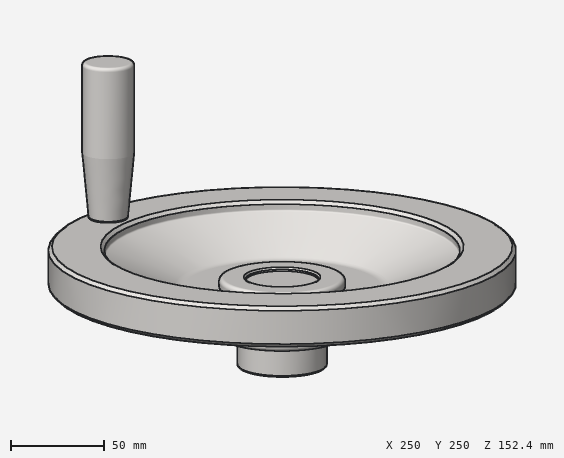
import cadquery as cq
import math

rim_diameter = 250.0
total_height = 152.4
rim_radius = rim_diameter / 2

rim_bottom = 43.6
rim_top = 66.0
rim_edge_chamfer = 2.0
rim_inner_radius = 95.0
rim_mouth_chamfer = 2.0

dish_floor_height = 44.0
dish_floor_radius = 53.0
dish_floor_fillet = 10.0
dish_slope = math.radians(22.4)
dish_wall_fillet = 1.0

underside_slope = math.radians(24.0)
underside_fillet = 3.0

hub_radius = 48.0 / 2
hub_edge_chamfer = 1.0
flange_radius = 70.0 / 2
flange_bottom = 17.0
flange_edge_fillet = 2.5
flange_top = 25.2

boss_radius = 67.5 / 2
boss_height = 5.2
boss_top = dish_floor_height + boss_height
boss_edge_fillet = 2.4
recess_radius = 39.0 / 2
recess_depth = 2.0
recess_chamfer = 1.0

handle_offset = 110.0
handle_radius = 14.0
handle_foot_radius = 10.6
handle_rim_gap = 0.7
handle_foot_height = rim_top + handle_rim_gap
handle_stem_radius = 10.0
handle_taper_top = 102.3
handle_edge_fillet = 2.0


def make_wheel():
    """Revolve the half section of the hub, dish and rim about Z."""
    cone_bottom_radius = flange_radius + underside_fillet * (1 - math.sin(underside_slope))
    cone_bottom_height = flange_top + underside_fillet * math.cos(underside_slope)
    cone_rise = rim_bottom - cone_bottom_height
    cone_rim_radius = cone_bottom_radius + cone_rise / math.tan(underside_slope)

    dish_low_radius = dish_floor_radius + dish_floor_fillet * math.sin(dish_slope)
    dish_low_height = dish_floor_height + dish_floor_fillet * (1 - math.cos(dish_slope))
    dish_high_radius = rim_inner_radius - dish_wall_fillet * (1 - math.sin(dish_slope))
    dish_high_height = dish_low_height + (dish_high_radius - dish_low_radius) * math.tan(dish_slope)
    dish_wall_bottom = dish_high_height + dish_wall_fillet * math.cos(dish_slope)

    section = (
        cq.Workplane("XZ")
        .moveTo(0, 0)
        .lineTo(hub_radius - hub_edge_chamfer, 0)
        .lineTo(hub_radius, hub_edge_chamfer)
        .lineTo(hub_radius, flange_bottom)
        .lineTo(flange_radius - flange_edge_fillet, flange_bottom)
        .radiusArc((flange_radius, flange_bottom + flange_edge_fillet), -flange_edge_fillet)
        .lineTo(flange_radius, flange_top)
        .radiusArc((cone_bottom_radius, cone_bottom_height), underside_fillet)
        .lineTo(cone_rim_radius, rim_bottom)
        .lineTo(rim_radius - rim_edge_chamfer, rim_bottom)
        .lineTo(rim_radius, rim_bottom + rim_edge_chamfer)
        .lineTo(rim_radius, rim_top - rim_edge_chamfer)
        .lineTo(rim_radius - rim_edge_chamfer, rim_top)
        .lineTo(rim_inner_radius + rim_mouth_chamfer, rim_top)
        .lineTo(rim_inner_radius, rim_top - rim_mouth_chamfer)
        .lineTo(rim_inner_radius, dish_wall_bottom)
        .radiusArc((dish_high_radius, dish_high_height), dish_wall_fillet)
        .lineTo(dish_low_radius, dish_low_height)
        .radiusArc((dish_floor_radius, dish_floor_height), dish_floor_fillet)
        .lineTo(boss_radius, dish_floor_height)
        .lineTo(boss_radius, boss_top - boss_edge_fillet)
        .radiusArc((boss_radius - boss_edge_fillet, boss_top), -boss_edge_fillet)
        .lineTo(recess_radius + recess_chamfer, boss_top)
        .lineTo(recess_radius, boss_top - recess_chamfer)
        .lineTo(recess_radius, boss_top - recess_depth)
        .lineTo(0, boss_top - recess_depth)
        .close()
    )
    return section.revolve(360, (0, 0, 0), (0, 1, 0))


def make_handle():
    """Revolve the grip about its own axis, rooted inside the rim."""
    root_height = (rim_bottom + rim_top) / 2
    section = (
        cq.Workplane("XZ")
        .moveTo(0, root_height)
        .lineTo(handle_stem_radius, root_height)
        .lineTo(handle_stem_radius, handle_foot_height)
        .lineTo(handle_foot_radius, handle_foot_height)
        .lineTo(handle_radius, handle_taper_top)
        .lineTo(handle_radius, total_height - handle_edge_fillet)
        .radiusArc((handle_radius - handle_edge_fillet, total_height), -handle_edge_fillet)
        .lineTo(0, total_height)
        .close()
    )
    handle = section.revolve(360, (0, 0, 0), (0, 1, 0))
    return handle.translate((-handle_offset, 0, 0))


result = make_wheel().union(make_handle())